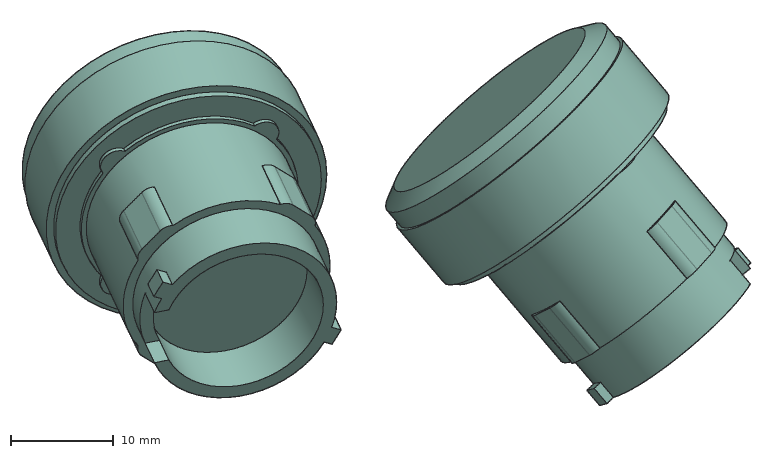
import cadquery as cq
import math

cap_bevel_end = 1.0
cap_end = 3.05
bezel_end = 10.13
flange_end = 10.77
ring_end = 11.2
barrel_end = 23.5
length = 28.95

face_radius = 12.05
cap_radius = 13.92
bezel_radius = 14.25
flange_radius = 13.5
ring_radius = 11.0
barrel_radius = 10.5
tail_radius = 9.52
bore_radius = 8.15

diagonal_angles = (45, 135, 225, 315)
lobe_radius = 1.62
pad_start = 17.4
pad_height = 10.85
pad_flat_half_width = 1.3
pad_edge_radius = 1.45
pad_edge_angle = math.radians(55)
pad_base_height = 8.68

notch_start = 25.85
notch_width = 6.35
key_start = 26.98
key_outer_height = 10.45
key_base_height = 8.83
key_width = 1.85
key_tilt = 30


def disc(start, end, radius):
    """Solid cylinder between two stations on the X axis."""
    return cq.Workplane("YZ", origin=(start, 0, 0)).circle(radius).extrude(end - start)


def around_axis(shape, angle):
    """Turn a shape about the X axis."""
    return shape.rotate((0, 0, 0), (1, 0, 0), angle)


def stepped_body():
    steps = (
        (cap_end, bezel_radius),
        (bezel_end, flange_radius),
        (flange_end, ring_radius),
        (ring_end, barrel_radius),
        (barrel_end, tail_radius),
    )
    profile = cq.Workplane("XY").moveTo(0, 0).lineTo(0, face_radius).lineTo(cap_bevel_end, cap_radius)
    station_radius = cap_radius
    for station, radius in steps:
        profile = profile.lineTo(station, station_radius)
        profile = profile.lineTo(station, radius)
        station_radius = radius
    profile = profile.lineTo(length, tail_radius).lineTo(length, 0).close()
    return profile.revolve(360, (0, 0, 0), (1, 0, 0))


def ring_lobe():
    """Round lobe on the ring, centred on the barrel surface at +Y."""
    return (
        cq.Workplane("YZ", origin=(flange_end, barrel_radius, 0))
        .circle(lobe_radius)
        .extrude(ring_end - flange_end)
    )


def barrel_pad():
    """Flat-topped pad at +Y with rounded long edges."""
    def edge_point(angle):
        across = pad_flat_half_width + pad_edge_radius * math.sin(angle)
        height = pad_height - pad_edge_radius * (1 - math.cos(angle))
        return height, across

    middle_height, middle_across = edge_point(pad_edge_angle / 2)
    foot_height, foot_across = edge_point(pad_edge_angle)
    return (
        cq.Workplane("YZ", origin=(pad_start, 0, 0))
        .moveTo(pad_height, -pad_flat_half_width)
        .lineTo(pad_height, pad_flat_half_width)
        .threePointArc((middle_height, middle_across), (foot_height, foot_across))
        .lineTo(pad_base_height, foot_across)
        .lineTo(pad_base_height, -foot_across)
        .lineTo(foot_height, -foot_across)
        .threePointArc((middle_height, -middle_across), (pad_height, -pad_flat_half_width))
        .close()
        .extrude(barrel_end - pad_start)
    )


def tail_key():
    """Rectangular key at +Y, with one side on the radial plane."""
    return cq.Workplane("XY").box(
        length - key_start, key_outer_height - key_base_height, key_width, centered=False
    ).translate((key_start, key_base_height, 0))


body = stepped_body()
for diagonal in diagonal_angles:
    body = body.union(around_axis(ring_lobe(), diagonal))
    body = body.union(around_axis(barrel_pad(), diagonal))

upper_key = around_axis(tail_key(), key_tilt).mirror("XZ")
lower_key = around_axis(tail_key(), -key_tilt)
body = body.union(upper_key).union(lower_key)

notch = cq.Workplane("XY").box(
    length - notch_start, tail_radius, notch_width, centered=(False, False, True)
).translate((notch_start, -tail_radius, 0))
result = body.cut(disc(barrel_end, length, bore_radius)).cut(notch)